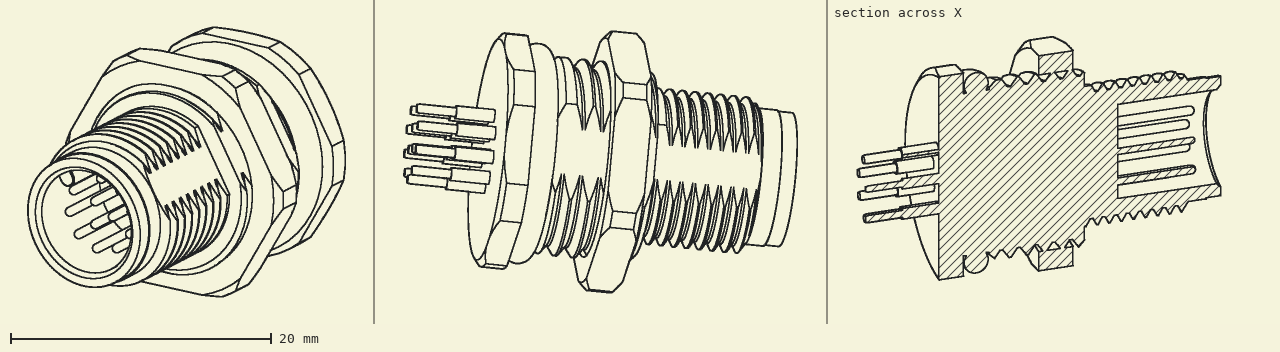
import cadquery as cq
import math


NOSE_STEP = 1.2
FRONT_THREAD_START = 2.7
REAR_THREAD_START = 11.18
NUT_START = 12.15
NUT_LENGTH = 2.83
REAR_THREAD_END = 19.07
HEAD_START = 21.15
HEAD_END = 23.18
TAIL_STEP = 26.15
TOTAL_LENGTH = 29.2

NOSE_TIP_RADIUS = 5.17
NOSE_RADIUS = 5.25
SOCKET_RADIUS = 4.12
SOCKET_MOUTH_RADIUS = 4.47
SOCKET_MOUTH_DEPTH = 0.35
SOCKET_DEPTH = 8.47
KEY_ANGLE = 120
KEY_CENTRE_RADIUS = 3.62
KEY_HALF_WIDTH = 0.65
KEY_CHAMFER = 0.1
KEY_START = SOCKET_MOUTH_DEPTH

FLAT_ANGLE = 30
SEAM_ANGLE = -30
FRONT_MAJOR_RADIUS = 6.02
FRONT_MINOR_RADIUS = 5.45
FRONT_PITCH = 1.0
FRONT_RUNOUT = 10.83
FRONT_FLAT_DISTANCE = 5.29
FRONT_CHAMFER_LENGTH = 0.53
REAR_MAJOR_RADIUS = 7.62
REAR_MINOR_RADIUS = 6.92
REAR_PITCH = 1.43
REAR_RUNOUT = 18.3
REAR_FLAT_DISTANCE = 6.7
REAR_END_RADIUS = 7.1
REAR_FRONT_CHAMFER_LENGTH = 0.5
REAR_BACK_CHAMFER_LENGTH = 0.58
CREST_FRACTION = 1 / 8
ROOT_WIDTH = 0.2
GROOVE_OVERSHOOT = 0.05

NUT_FLATS = 18.0
NUT_CORNER_RADIUS = 20.0 / 2
NUT_FACE_RADIUS = 9.43
NUT_CHAMFER_LENGTH = 0.5
NUT_BORE_RADIUS = 7.48
HEAD_FLATS = 17.0
HEAD_CORNER_RADIUS = 9.02
HEAD_FACE_RADIUS = 8.53
HEAD_CHAMFER_LENGTH = 0.38

RING_OUTER_RADIUS = 8.5
RING_SECTION_RADIUS = 2.01 / 2

OUTER_CONTACTS = 9
OUTER_CIRCLE_RADIUS = 2.9
OUTER_STEP_ANGLE = 37.5
INNER_CONTACTS = 3
INNER_CIRCLE_RADIUS = 1.08
PIN_RADIUS = 0.35
PIN_START = 2.05
TAIL_COLLAR_RADIUS = 0.5
TAIL_RADIUS = 0.35
TAIL_TIP_LENGTH = 0.2
TAIL_TIP_RADIUS = 0.3


def turned(profile):
    """Revolve (radius, y) points, closed along the axis, around Y; the seam clears the groove ends."""
    points = [(0, profile[0][1])] + profile + [(0, profile[-1][1])]
    body = cq.Workplane("XY").polyline(points).close().revolve(360, (0, 0), (0, 1))
    return body.rotate((0, 0, 0), (0, 1, 0), -SEAM_ANGLE)


def polar(radius, angle):
    """X and Z of a point on a circle around the axis."""
    return radius * math.cos(math.radians(angle)), radius * math.sin(math.radians(angle))


def thread_groove(major, minor, pitch, runout, front):
    """Right-hand helical groove from its run-out to beyond the front of the thread."""
    length = runout - front + pitch
    helix = cq.Wire.makeHelix(pitch, length, minor)
    top_radius = major + GROOVE_OVERSHOOT
    mouth_half = pitch * (1 - CREST_FRACTION) / 2
    root_half = ROOT_WIDTH / 2
    flank_slope = (mouth_half - root_half) / (major - minor)
    top_half = mouth_half + GROOVE_OVERSHOOT * flank_slope
    section = [(minor, -root_half), (top_radius, -top_half), (top_radius, top_half), (minor, root_half)]
    groove = cq.Workplane("XZ").polyline(section).close().sweep(cq.Workplane(helix), isFrenet=True)
    groove = groove.rotate((0, 0, 0), (0, 0, 1), FLAT_ANGLE + 180)
    return groove.rotate((0, 0, 0), (1, 0, 0), 90).translate((0, runout, 0))


def flatted(body, distance):
    """Keep the part of a thread between two parallel side flats."""
    slab = cq.Workplane("XY").box(2 * distance, 3 * TOTAL_LENGTH, TOTAL_LENGTH)
    return body.intersect(slab.rotate((0, 0, 0), (0, 1, 0), -FLAT_ANGLE))


def make_front_thread():
    blank = turned([
        (NOSE_RADIUS, FRONT_THREAD_START),
        (FRONT_MAJOR_RADIUS, FRONT_THREAD_START + FRONT_CHAMFER_LENGTH),
        (FRONT_MAJOR_RADIUS, REAR_THREAD_START),
    ])
    groove = thread_groove(
        FRONT_MAJOR_RADIUS, FRONT_MINOR_RADIUS, FRONT_PITCH, FRONT_RUNOUT, FRONT_THREAD_START
    )
    return flatted(blank.cut(groove), FRONT_FLAT_DISTANCE)


def make_rear_thread():
    blank = turned([
        (REAR_END_RADIUS, REAR_THREAD_START),
        (REAR_MAJOR_RADIUS, REAR_THREAD_START + REAR_FRONT_CHAMFER_LENGTH),
        (REAR_MAJOR_RADIUS, REAR_THREAD_END - REAR_BACK_CHAMFER_LENGTH),
        (REAR_END_RADIUS, REAR_THREAD_END),
    ])
    groove = thread_groove(
        REAR_MAJOR_RADIUS, REAR_MINOR_RADIUS, REAR_PITCH, REAR_RUNOUT, REAR_THREAD_START
    )
    return flatted(blank.cut(groove), REAR_FLAT_DISTANCE)


def hexagon(flats, start, length):
    """Hexagonal prism along +Y with flats facing up and down."""
    corner_diameter = flats / math.cos(math.radians(30))
    plane = cq.Workplane("XZ", origin=(0, start, 0))
    return plane.polygon(6, corner_diameter).extrude(-length)


def make_nut():
    nut_end = NUT_START + NUT_LENGTH
    envelope = turned([
        (NUT_FACE_RADIUS, NUT_START),
        (NUT_CORNER_RADIUS, NUT_START + NUT_CHAMFER_LENGTH),
        (NUT_CORNER_RADIUS, nut_end - NUT_CHAMFER_LENGTH),
        (NUT_FACE_RADIUS, nut_end),
    ])
    bore = turned([(NUT_BORE_RADIUS, NUT_START), (NUT_BORE_RADIUS, nut_end)])
    return hexagon(NUT_FLATS, NUT_START, NUT_LENGTH).intersect(envelope).cut(bore)


def make_head():
    envelope = turned([
        (HEAD_CORNER_RADIUS, HEAD_START),
        (HEAD_CORNER_RADIUS, HEAD_END - HEAD_CHAMFER_LENGTH),
        (HEAD_FACE_RADIUS, HEAD_END),
    ])
    return hexagon(HEAD_FLATS, HEAD_START, HEAD_END - HEAD_START).intersect(envelope)


def make_nose():
    return turned([
        (NOSE_TIP_RADIUS, 0),
        (NOSE_TIP_RADIUS, NOSE_STEP),
        (NOSE_RADIUS, NOSE_STEP),
        (NOSE_RADIUS, FRONT_THREAD_START),
    ])


def make_neck_and_ring():
    neck = turned([(REAR_MINOR_RADIUS, REAR_THREAD_END), (REAR_MINOR_RADIUS, HEAD_START)])
    ring_centre = (RING_OUTER_RADIUS - RING_SECTION_RADIUS, (REAR_THREAD_END + HEAD_START) / 2)
    ring = cq.Workplane("XY").center(*ring_centre).circle(RING_SECTION_RADIUS)
    return neck.union(ring.revolve(360, (-ring_centre[0], 0), (-ring_centre[0], 1)))


def make_socket():
    """Cavity of the mating end, with the coding key left standing."""
    cavity = turned([
        (SOCKET_MOUTH_RADIUS, 0),
        (SOCKET_RADIUS, SOCKET_MOUTH_DEPTH),
        (SOCKET_RADIUS, SOCKET_DEPTH),
    ])
    key_outer_end = NOSE_RADIUS
    key_inner_end = KEY_CENTRE_RADIUS - KEY_HALF_WIDTH
    key = (
        cq.Workplane("XZ", origin=(0, KEY_START, 0))
        .center((key_inner_end + key_outer_end) / 2, 0)
        .slot2D(key_outer_end - key_inner_end, 2 * KEY_HALF_WIDTH)
        .extrude(KEY_START - SOCKET_DEPTH)
        .faces("<Y")
        .chamfer(KEY_CHAMFER)
    )
    return cavity.cut(key.rotate((0, 0, 0), (0, 1, 0), -KEY_ANGLE))


def make_contact(x, z):
    """One contact: round-tipped front pin, hidden shank, rear collar and solder tail."""
    tip_centre = PIN_START + PIN_RADIUS
    contact = turned([
        (PIN_RADIUS, tip_centre),
        (PIN_RADIUS, HEAD_START),
        (TAIL_COLLAR_RADIUS, HEAD_START),
        (TAIL_COLLAR_RADIUS, TAIL_STEP),
        (TAIL_RADIUS, TAIL_STEP),
        (TAIL_RADIUS, TOTAL_LENGTH - TAIL_TIP_LENGTH),
        (TAIL_TIP_RADIUS, TOTAL_LENGTH),
    ])
    tip = cq.Workplane("XY", origin=(0, tip_centre, 0)).sphere(PIN_RADIUS)
    return contact.union(tip).translate((x, 0, z))


def contact_positions():
    outer = [polar(OUTER_CIRCLE_RADIUS, 90 - i * OUTER_STEP_ANGLE) for i in range(OUTER_CONTACTS)]
    inner = [polar(INNER_CIRCLE_RADIUS, i * 360 / INNER_CONTACTS) for i in range(INNER_CONTACTS)]
    return outer + inner


body = make_nose().union(make_front_thread()).union(make_rear_thread())
body = body.union(make_neck_and_ring()).union(make_head()).cut(make_socket())
contacts = [make_contact(x, z).val() for x, z in contact_positions()]
body = body.union(cq.Workplane(cq.Compound.makeCompound(contacts)))
result = body.union(make_nut())